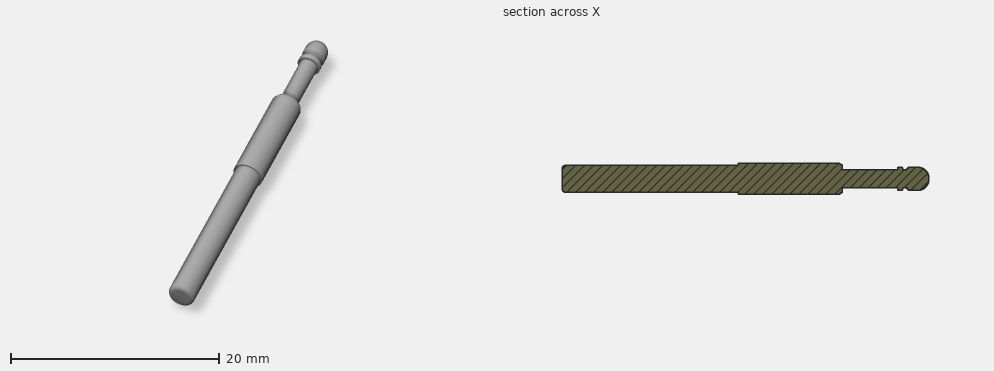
import cadquery as cq
import math

total_length = 35.3

head_end = 1.95
groove_start = 2.2
groove_end = 2.5
collar_start = 2.58
collar_end = 3.05
body_start = 8.33
body_end = 18.35

head_radius = 2.3 / 2
groove_radius = 1.8 / 2
plunger_radius = 1.8 / 2
body_radius = 3.0 / 2
tail_radius = 2.65 / 2

body_chamfer_length = 0.32
body_chamfer_depth = 0.18
tail_fillet = 0.42

tip_y = total_length / 2


def at(radius, distance_from_tip):
    """Profile point at a radius and a distance back from the tip."""
    return (radius, tip_y - distance_from_tip)


dome_mid = at(
    head_radius * math.sin(math.pi / 4),
    head_radius * (1 - math.cos(math.pi / 4)),
)
profile = (
    cq.Workplane("XY")
    .moveTo(*at(0, 0))
    .threePointArc(dome_mid, at(head_radius, head_radius))
    .lineTo(*at(head_radius, head_end))
    .lineTo(*at(groove_radius, groove_start))
    .lineTo(*at(groove_radius, groove_end))
    .lineTo(*at(head_radius, collar_start))
    .lineTo(*at(head_radius, collar_end))
    .lineTo(*at(plunger_radius, collar_end))
    .lineTo(*at(plunger_radius, body_start))
    .lineTo(*at(body_radius - body_chamfer_depth, body_start))
    .lineTo(*at(body_radius, body_start + body_chamfer_length))
    .lineTo(*at(body_radius, body_end))
    .lineTo(*at(tail_radius, body_end))
    .lineTo(*at(tail_radius, total_length))
    .lineTo(*at(0, total_length))
    .close()
)
probe = profile.revolve(360, (0, 0, 0), (0, 1, 0))

result = probe.faces("<Y").edges().fillet(tail_fillet)